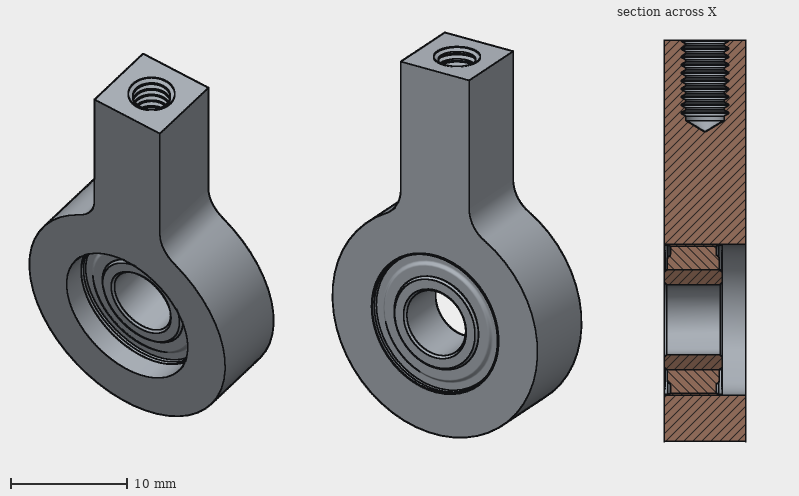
import cadquery as cq
import math

total_height = 34.5
eye_diameter = 20.98
thickness = 7.0
shank_width = thickness
neck_fillet_radius = 3.0

bearing_recess = 2.0
bearing_diameter = 12.97

bearing_bore_diameter = 6.0
inner_ring_diameter = 8.62
inner_ring_chamfer = 0.2

rim_mouth_diameter = 12.8
rim_cone_inset = 0.3
rim_chamfer = 0.07

shield_diameter = 12.63
shield_flange_inset = 0.52
shield_face_inset = 0.25
shield_step_outer_diameter = 11.1
shield_step_inner_diameter = 10.7
shield_step_fillet_radius = 0.2

thread_major_diameter = 4.0
thread_minor_diameter = 3.25
thread_pitch = 0.7
thread_turns = 10
drill_point_angle = 118.0

eye_radius = eye_diameter / 2
shank_top = total_height - eye_radius
bearing_front = -thickness / 2 + bearing_recess
bearing_back = thickness / 2


def ring_about_y(half_profile):
    """Revolve a closed outline of (radius, y) points about the Y axis."""
    return cq.Workplane("XY").polyline(half_profile).close().revolve(360, (0, 0, 0), (0, 1, 0))


def with_mirrored_back(front_points):
    """Complete a ring profile with the mirror image of its front points at the back of the bearing."""
    back_points = [(radius, bearing_front + bearing_back - y) for radius, y in reversed(front_points)]
    return front_points + back_points


def make_threaded_hole():
    """Hole cutter with one V groove per pitch and a drill point at the bottom."""
    major = thread_major_diameter / 2
    minor = thread_minor_diameter / 2
    crest = thread_pitch / 4
    root = thread_pitch / 8
    flank = (thread_pitch - crest - root) / 2
    points = [(0, shank_top)]
    for turn in range(thread_turns):
        groove_top = shank_top - turn * thread_pitch
        points += [
            (major, groove_top),
            (major, groove_top - root),
            (minor, groove_top - root - flank),
            (minor, groove_top - root - flank - crest),
        ]
    hole_bottom = shank_top - thread_turns * thread_pitch
    drill_point_depth = minor / math.tan(math.radians(drill_point_angle / 2))
    points += [(minor, hole_bottom), (0, hole_bottom - drill_point_depth)]
    return cq.Workplane("XZ").polyline(points).close().revolve(360, (0, 0, 0), (0, 1, 0))


def make_housing():
    """Eye and shank with filleted necks, a bearing seat and a threaded hole."""
    eye = cq.Workplane("XZ").circle(eye_radius).extrude(thickness / 2, both=True)
    shank = cq.Workplane("XY").box(shank_width, thickness, shank_top, centered=(True, True, False))
    body = eye.union(shank)
    neck_z = math.sqrt(eye_radius**2 - (shank_width / 2) ** 2)
    for side in (-1, 1):
        corner = (side * shank_width / 2, 0, neck_z)
        body = body.edges(cq.NearestToPointSelector(corner)).fillet(neck_fillet_radius)
    bearing_seat = cq.Workplane("XZ").circle(bearing_diameter / 2).extrude(thickness, both=True)
    return body.cut(bearing_seat).cut(make_threaded_hole())


def make_outer_ring():
    """Ring seated in the eye, holding the shield at its bore."""
    front = [
        (shield_diameter / 2, bearing_front + shield_flange_inset),
        (rim_mouth_diameter / 2, bearing_front + rim_cone_inset),
        (rim_mouth_diameter / 2, bearing_front),
        (bearing_diameter / 2 - rim_chamfer, bearing_front),
        (bearing_diameter / 2, bearing_front + rim_chamfer),
    ]
    return ring_about_y(with_mirrored_back(front))


def make_inner_ring():
    """Ring with chamfered bore and outer edges."""
    bore = bearing_bore_diameter / 2
    outside = inner_ring_diameter / 2
    front = [
        (bore, bearing_front + inner_ring_chamfer),
        (bore + inner_ring_chamfer, bearing_front),
        (outside - inner_ring_chamfer, bearing_front),
        (outside, bearing_front + inner_ring_chamfer),
    ]
    return ring_about_y(with_mirrored_back(front))


def make_shield():
    """Filler between the rings, stepped alike at the front and the back."""
    tolerance = 3.45e-07
    step_inner = shield_step_inner_diameter / 2
    step_outer = shield_step_outer_diameter / 2
    front = [
        (inner_ring_diameter / 2, bearing_front + shield_face_inset),
        (step_inner, bearing_front + shield_face_inset),
        (step_outer, bearing_front + shield_flange_inset),
        (shield_diameter / 2, bearing_front + shield_flange_inset),
    ]
    body = ring_about_y(with_mirrored_back(front))
    for radius in (step_inner, step_outer):
        step_edges = body.edges("%CIRCLE").filter(lambda edge: abs(edge.radius() - radius) < tolerance)
        body = step_edges.fillet(shield_step_fillet_radius)
    return body


housing = make_housing()
outer_ring = make_outer_ring()
inner_ring = make_inner_ring()
shield = make_shield()

result = cq.Compound.makeCompound([housing.val(), outer_ring.val(), inner_ring.val(), shield.val()])